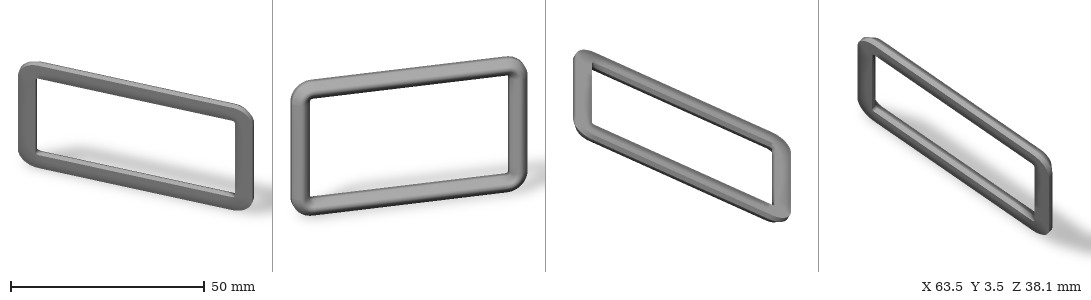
import cadquery as cq
import math

length = 63.5
height = 38.1
depth = 3.5
band_width = 4.8
corner_radius = 5.6

ridge_radius = 1.0
bevel_angle = math.radians(46)
ridge_half_width = ridge_radius * math.sin(bevel_angle)
ridge_rise = ridge_radius * (1 - math.cos(bevel_angle))
bevel_run = band_width / 2 - ridge_half_width
bevel_rise = bevel_run * math.tan(bevel_angle)

half_length = length / 2
half_height = height / 2
straight_x = half_length - corner_radius
straight_z = half_height - corner_radius

back_y = depth / 2
front_y = -back_y
bevel_end_y = back_y - ridge_rise
wall_end_y = bevel_end_y - bevel_rise


def band_profile():
    """Cross-section at the middle of the top side, in the YZ plane."""
    outer_z = half_height
    inner_z = outer_z - band_width
    ridge_z = outer_z - band_width / 2
    return (
        cq.Workplane("YZ")
        .moveTo(front_y, outer_z)
        .lineTo(wall_end_y, outer_z)
        .lineTo(bevel_end_y, ridge_z + ridge_half_width)
        .threePointArc((back_y, ridge_z), (bevel_end_y, ridge_z - ridge_half_width))
        .lineTo(wall_end_y, inner_z)
        .lineTo(front_y, inner_z)
        .close()
    )


def outer_outline():
    """Rounded rectangle the profile follows, starting at the middle of the top side."""
    return (
        cq.Workplane("XZ")
        .moveTo(0, half_height)
        .lineTo(straight_x, half_height)
        .tangentArcPoint((half_length, straight_z), relative=False)
        .lineTo(half_length, -straight_z)
        .tangentArcPoint((straight_x, -half_height), relative=False)
        .lineTo(-straight_x, -half_height)
        .tangentArcPoint((-half_length, -straight_z), relative=False)
        .lineTo(-half_length, straight_z)
        .tangentArcPoint((-straight_x, half_height), relative=False)
        .close()
    )


result = band_profile().sweep(outer_outline())